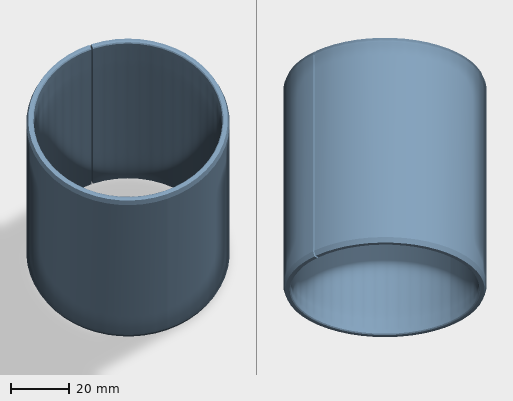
import cadquery as cq
import math

outer_diameter = 70.0
wall_thickness = 2.5
length = 80.0

outer_chamfer_height = 1.8
outer_chamfer_angle = 20.0
inner_chamfer = 0.35

joint_gap = 0.6

outer_radius = outer_diameter / 2
inner_radius = outer_radius - wall_thickness
outer_chamfer_depth = outer_chamfer_height * math.tan(math.radians(outer_chamfer_angle))


def chamfered_sleeve():
    """Revolve the wall section, chamfered at all four corners, about Z."""
    half_length = length / 2
    upper_half = [
        (outer_radius, half_length - outer_chamfer_height),
        (outer_radius - outer_chamfer_depth, half_length),
        (inner_radius + inner_chamfer, half_length),
        (inner_radius, half_length - inner_chamfer),
    ]
    lower_half = [(radius, -height) for radius, height in reversed(upper_half)]
    section = cq.Workplane("XZ").polyline(upper_half + lower_half).close()
    return section.revolve(360, (0, 0, 0), (0, 1, 0))


def joint_slit():
    """Thin full-length slab that opens the wall on the -X side only."""
    slab = cq.Workplane("XY").box(outer_radius, joint_gap, length, centered=(False, False, True))
    return slab.translate((-outer_radius, 0, 0))


result = chamfered_sleeve().cut(joint_slit())